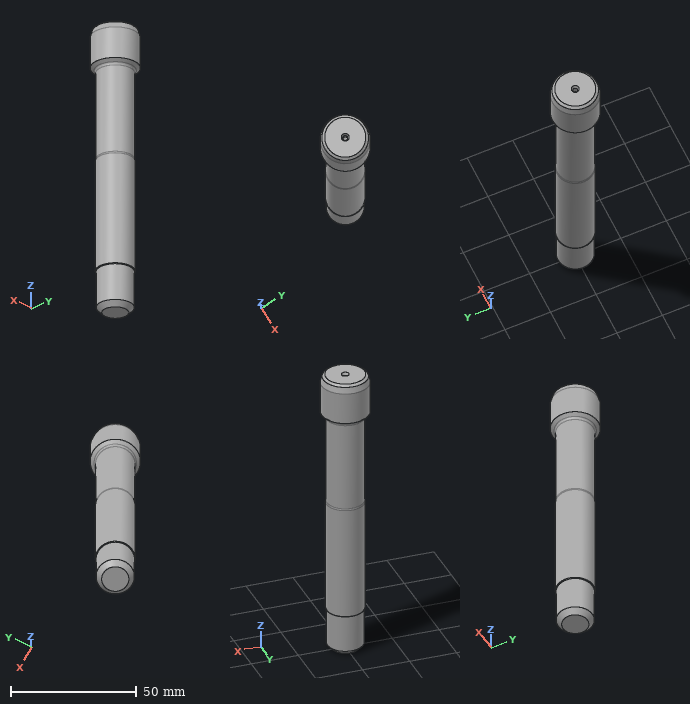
import cadquery as cq
import math

length = 125.0

head_diameter = 20.1
neck_diameter = 15.8
body_diameter = 16.0
pilot_diameter = 15.4
crown_diameter = 18.6
end_face_diameter = 16.4

pilot_top = 18.0
body_top = 67.6
neck_top = 105.8
head_bottom = 108.0
head_taper_start = 121.5
crown_bottom = 124.1

tip_chamfer = 2.2
body_lower_chamfer = (body_diameter - pilot_diameter) / 2
body_upper_taper = 0.8
under_head_angle = math.radians(35)

hole_diameter = 2.0
hole_depth = 3.8
countersink_diameter = 3.1
countersink_angle = 50.0
drill_point_angle = 120.0


def cone_height(large_radius, small_radius, included_angle):
    """Axial length of a cone between two radii."""
    return (large_radius - small_radius) / math.tan(math.radians(included_angle / 2))


def make_pin():
    """Revolve the stepped outline about the Z axis."""
    head_r = head_diameter / 2
    neck_r = neck_diameter / 2
    body_r = body_diameter / 2
    pilot_r = pilot_diameter / 2

    slope = math.tan(under_head_angle)
    rise = head_bottom - neck_top
    overhang = head_r - neck_r
    fillet_rise = math.cos(under_head_angle)
    fillet_run = 1 - math.sin(under_head_angle)
    fillet = (rise - overhang * slope) / (fillet_rise - fillet_run * slope)
    fillet_r = neck_r + fillet
    end_angle = math.pi / 2 - under_head_angle
    mid_angle = end_angle / 2

    def fillet_point(angle):
        return (fillet_r - fillet * math.cos(angle), neck_top + fillet * math.sin(angle))

    outline = (
        cq.Workplane("XZ")
        .moveTo(0, 0)
        .lineTo(pilot_r - tip_chamfer, 0)
        .lineTo(pilot_r, tip_chamfer)
        .lineTo(pilot_r, pilot_top)
        .lineTo(body_r, pilot_top + body_lower_chamfer)
        .lineTo(body_r, body_top - body_upper_taper)
        .lineTo(neck_r, body_top)
        .lineTo(neck_r, neck_top)
        .threePointArc(fillet_point(mid_angle), fillet_point(end_angle))
        .lineTo(head_r, head_bottom)
        .lineTo(head_r, head_taper_start)
        .lineTo(crown_diameter / 2, crown_bottom)
        .lineTo(end_face_diameter / 2, length)
        .lineTo(0, length)
        .close()
    )
    return outline.revolve(360, (0, 0), (0, 1))


def make_centre_hole():
    """Countersunk blind hole with a conical drill point."""
    hole_r = hole_diameter / 2
    sink_r = countersink_diameter / 2
    sink_depth = cone_height(sink_r, hole_r, countersink_angle)
    point_depth = hole_depth + cone_height(hole_r, 0, drill_point_angle)
    outline = (
        cq.Workplane("XZ")
        .moveTo(0, length)
        .lineTo(sink_r, length)
        .lineTo(hole_r, length - sink_depth)
        .lineTo(hole_r, length - hole_depth)
        .lineTo(0, length - point_depth)
        .close()
    )
    return outline.revolve(360, (0, 0), (0, 1))


result = make_pin().cut(make_centre_hole())